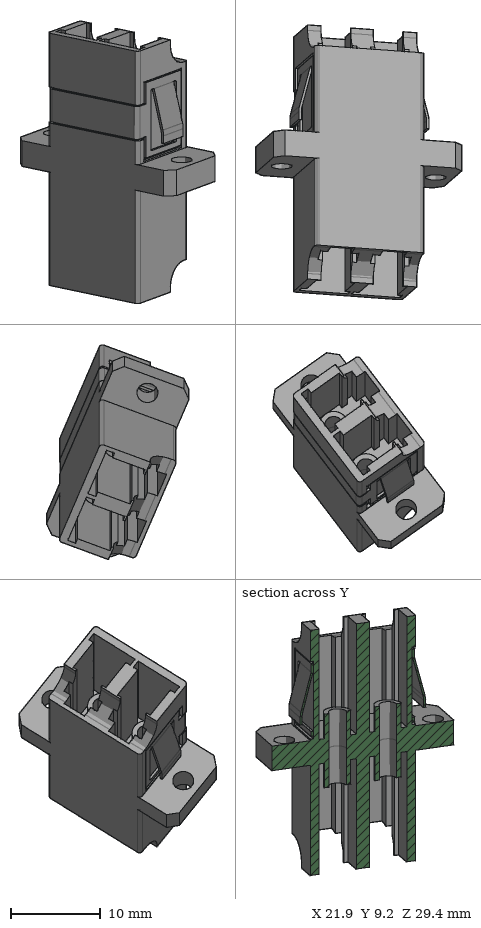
import cadquery as cq
import math

HEIGHT = 29.35
BODY_WIDTH = 12.67
DEPTH = 9.2
BODY_CORNER_RADIUS = 0.4

FLANGE_WIDTH = 21.9
FLANGE_THICKNESS = 3.0
FLANGE_CHAMFER = 1.03
MOUNT_HOLE_DIAMETER = 2.32
MOUNT_HOLE_SPACING = 17.9

NOTCH_FRONT_Y = 1.4
NOTCH_DROP = 3.15
NOTCH_RADIUS = 2.5

PORT_SPACING = 6.07
FOOT_FRONT_Y = -3.67
FOOT_REAR_Y = -2.73
RIB_FRONT_Y = 1.17
RIB_REAR_Y = 1.95
MAIN_REAR_Y = 2.9
LATCH_REAR_Y = 4.1
FOOT_HALF_WIDTH = 2.82
MAIN_HALF_WIDTH = 2.23
RIB_HALF_WIDTH = 1.73
LATCH_HALF_WIDTH = 1.38
WEB_THICKNESS = FLANGE_THICKNESS

SLEEVE_Y = -1.23
SLEEVE_DIAMETER = 3.2
SLEEVE_BORE = 2.02
SLEEVE_HEIGHT = 2.93

SHEET = 0.3
CLIP_INSET = 0.1
CLIP_BEND_RADIUS = 0.5
CLIP_BOTTOM_Z = 1.95
CLIP_TOP_Z = 10.68
CLIP_REAR_Y = 3.45
CLIP_SHOULDER_Y = -3.0
BRIDGE_BOTTOM_Z = 4.4
BRIDGE_TOP_Z = 8.22
CLIP_CORNER_RADIUS = 0.15

CLIP_HALF_WIDTH = BODY_WIDTH / 2 - CLIP_INSET
CLIP_FRONT_Y = -DEPTH / 2

WINDOW_FRONT_Y = -2.08
WINDOW_REAR_Y = 2.58
WINDOW_BOTTOM_Z = 2.55
WINDOW_TOP_Z = 9.65
TAB_FRONT_Y = -1.53
TAB_REAR_Y = 2.1
TAB_BOTTOM_Z = 3.5
TAB_HALF_SPAN = 7.57
TAB_ANGLE = math.radians(15)
TAB_BEND_RADIUS = 2.5

POCKET_BOTTOM_Z = 1.67
POCKET_TOP_Z = 10.89
POCKET_FRONT_Y = -3.52
GROOVE_CLEARANCE = 0.18


def span_box(x_range, y_range, z_range):
    """Box between the given limits along X, Y and Z."""
    (x0, x1), (y0, y1), (z0, z1) = x_range, y_range, z_range
    return cq.Workplane("XY").box(x1 - x0, y1 - y0, z1 - z0, centered=False).translate((x0, y0, z0))


def block_with_flange():
    body = cq.Workplane("XY").box(BODY_WIDTH, DEPTH, HEIGHT).edges("|Z").fillet(BODY_CORNER_RADIUS)
    flange = (
        cq.Workplane("XY")
        .box(FLANGE_WIDTH, DEPTH, FLANGE_THICKNESS)
        .edges("|Z")
        .chamfer(FLANGE_CHAMFER)
        .faces(">Z")
        .workplane()
        .rarray(MOUNT_HOLE_SPACING, 0.3, 2, 1)
        .hole(MOUNT_HOLE_DIAMETER)
    )
    return body.union(flange)


def rear_notch():
    """Cutter for the notch at the top end, across the full body width."""
    top = HEIGHT / 2
    rear = DEPTH / 2
    arc_start_z = top - NOTCH_DROP + NOTCH_RADIUS
    return (
        cq.Workplane("YZ")
        .moveTo(NOTCH_FRONT_Y, top)
        .lineTo(NOTCH_FRONT_Y, arc_start_z)
        .radiusArc((NOTCH_FRONT_Y + NOTCH_RADIUS, top - NOTCH_DROP), -NOTCH_RADIUS)
        .lineTo(rear, top - NOTCH_DROP)
        .lineTo(rear, top)
        .close()
        .extrude(BODY_WIDTH / 2, both=True)
    )


def port():
    """Cutter for one port at the top end, centred on X, leaving its sleeve tube standing."""
    steps = [
        (FOOT_FRONT_Y, FOOT_REAR_Y, FOOT_HALF_WIDTH),
        (FOOT_REAR_Y, RIB_FRONT_Y, MAIN_HALF_WIDTH),
        (RIB_FRONT_Y, RIB_REAR_Y, RIB_HALF_WIDTH),
        (RIB_REAR_Y, MAIN_REAR_Y, MAIN_HALF_WIDTH),
        (MAIN_REAR_Y, LATCH_REAR_Y, LATCH_HALF_WIDTH),
    ]
    z_range = (WEB_THICKNESS / 2, HEIGHT / 2)
    cavity = cq.Workplane("XY")
    for y_front, y_rear, half_width in steps:
        cavity = cavity.union(span_box((-half_width, half_width), (y_front, y_rear), z_range))
    sleeve = (
        cq.Workplane("XY", origin=(0, SLEEVE_Y, WEB_THICKNESS / 2))
        .circle(SLEEVE_DIAMETER / 2)
        .extrude(SLEEVE_HEIGHT)
    )
    return cavity.cut(sleeve)


def sleeve_bores():
    return (
        cq.Workplane("XY", origin=(0, SLEEVE_Y, 0))
        .rarray(PORT_SPACING, 0.3, 2, 1)
        .circle(SLEEVE_BORE / 2)
        .extrude(HEIGHT / 2, both=True)
    )


def clip_recess():
    """Cutter for the side pockets and front groove, down to the surface the clip rests on."""
    half_body = BODY_WIDTH / 2
    front = -DEPTH / 2
    x_range = (-half_body, half_body)
    pockets = span_box(x_range, (POCKET_FRONT_Y, CLIP_REAR_Y), (POCKET_BOTTOM_Z, POCKET_TOP_Z))
    groove_z = (BRIDGE_BOTTOM_Z - GROOVE_CLEARANCE, BRIDGE_TOP_Z + GROOVE_CLEARANCE)
    groove = span_box(x_range, (front, POCKET_FRONT_Y), groove_z)
    core_half_width = CLIP_HALF_WIDTH - SHEET
    core = (
        span_box(
            (-core_half_width, core_half_width),
            (CLIP_FRONT_Y + SHEET, CLIP_REAR_Y),
            (POCKET_BOTTOM_Z, POCKET_TOP_Z),
        )
        .edges("|Z and <Y")
        .fillet(BODY_CORNER_RADIUS)
    )
    return pockets.union(groove).cut(core)


def make_housing():
    housing = block_with_flange()
    end_cuts = [rear_notch()]
    for side in (-1, 1):
        end_cuts.append(port().translate((side * PORT_SPACING / 2, 0, 0)))
    for end_cut in end_cuts:
        housing = housing.cut(end_cut).cut(end_cut.mirror("XY"))
    return housing.cut(sleeve_bores()).cut(clip_recess())


def clip_band():
    """Bent sheet: two tall sides joined by a narrower bridge across the front."""
    z_range = (CLIP_BOTTOM_Z, CLIP_TOP_Z)
    inner_half_width = CLIP_HALF_WIDTH - SHEET
    outer = (
        span_box((-CLIP_HALF_WIDTH, CLIP_HALF_WIDTH), (CLIP_FRONT_Y, CLIP_REAR_Y), z_range)
        .edges("|Z and <Y")
        .fillet(CLIP_BEND_RADIUS)
        .edges("|X and >Y")
        .fillet(CLIP_CORNER_RADIUS)
    )
    inner = (
        span_box((-inner_half_width, inner_half_width), (CLIP_FRONT_Y + SHEET, CLIP_REAR_Y), z_range)
        .edges("|Z and <Y")
        .fillet(CLIP_BEND_RADIUS - SHEET)
    )
    band = outer.cut(inner)
    x_range = (-CLIP_HALF_WIDTH, CLIP_HALF_WIDTH)
    for trim_z in ((CLIP_BOTTOM_Z, BRIDGE_BOTTOM_Z), (BRIDGE_TOP_Z, CLIP_TOP_Z)):
        band = band.cut(span_box(x_range, (CLIP_FRONT_Y, CLIP_SHOULDER_Y), trim_z))
    return band


def clip_windows():
    return (
        span_box(
            (-CLIP_HALF_WIDTH, CLIP_HALF_WIDTH),
            (WINDOW_FRONT_Y, WINDOW_REAR_Y),
            (WINDOW_BOTTOM_Z, WINDOW_TOP_Z),
        )
        .edges("|X")
        .fillet(CLIP_CORNER_RADIUS)
    )


def spring_tab():
    """Tab on the +X side: slopes outwards from the window's upper edge, then bends to vertical."""
    outer_bend_z = WINDOW_TOP_Z - (TAB_HALF_SPAN - CLIP_HALF_WIDTH) / math.tan(TAB_ANGLE)
    inner_bend_z = outer_bend_z - SHEET * math.tan(TAB_ANGLE / 2)
    inner_x = TAB_HALF_SPAN - SHEET
    tab = (
        cq.Workplane("XZ", origin=(0, TAB_REAR_Y, 0))
        .polyline(
            [
                (CLIP_HALF_WIDTH - SHEET, WINDOW_TOP_Z),
                (CLIP_HALF_WIDTH, WINDOW_TOP_Z),
                (TAB_HALF_SPAN, outer_bend_z),
                (TAB_HALF_SPAN, TAB_BOTTOM_Z),
                (inner_x, TAB_BOTTOM_Z),
                (inner_x, inner_bend_z),
            ]
        )
        .close()
        .extrude(TAB_REAR_Y - TAB_FRONT_Y)
    )
    bends = (
        (TAB_HALF_SPAN, outer_bend_z, TAB_BEND_RADIUS),
        (inner_x, inner_bend_z, TAB_BEND_RADIUS - SHEET),
    )
    for bend_x, bend_z, radius in bends:
        bend_edge = cq.selectors.NearestToPointSelector((bend_x, (TAB_FRONT_Y + TAB_REAR_Y) / 2, bend_z))
        tab = tab.edges(bend_edge).fillet(radius)
    return tab


def make_clip():
    tab = spring_tab()
    return clip_band().cut(clip_windows()).union(tab).union(tab.mirror("YZ"))


housing = make_housing()
clip = make_clip()

result = cq.Compound.makeCompound([housing.solids().val(), clip.solids().val()])